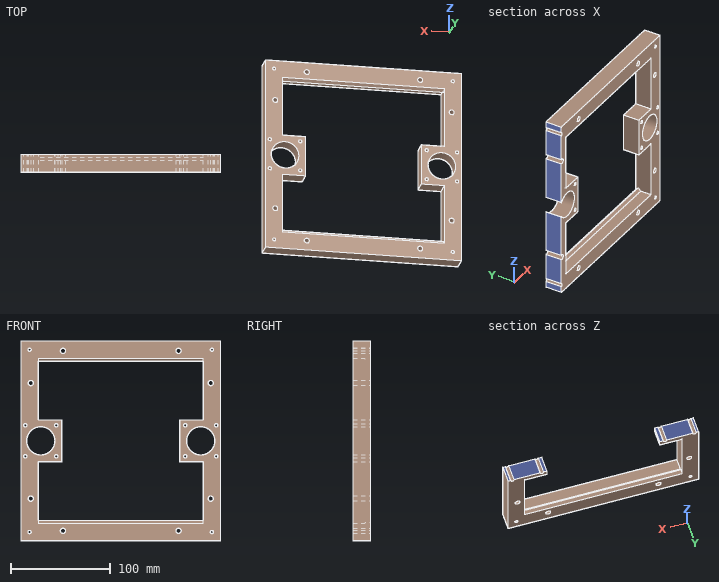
import cadquery as cq

frame_side = 200.0
frame_depth = 18.0
opening_side = 165.0

mount_side = 42.0
mount_offset = 80.0
mount_bore_diameter = 28.0
mount_screw_spacing = 31.0
mount_screw_diameter = 3.2

corner_hole_offset = 91.2
corner_hole_diameter = 3.0
bar_hole_offset = 90.0
bar_hole_spacing = 115.5
bar_hole_diameter = 5.0

ridge_height = 3.0
ridge_width = 2 * ridge_height


def extrude_back(sketch):
    """Extrude a sketch on the front face through the full depth, toward +Y."""
    return sketch.extrude(-frame_depth)


def front_plane(x=0):
    """Workplane on the front face, with its origin moved sideways by x."""
    return cq.Workplane("XZ", origin=(x, 0, 0))


def make_frame():
    outer = extrude_back(front_plane().rect(frame_side, frame_side))
    opening = extrude_back(front_plane().rect(opening_side, opening_side))
    return outer.cut(opening)


def make_ridge(side):
    """Ridge on the top (side = 1) or bottom (side = -1) bar."""
    base_z = side * opening_side / 2
    peak_z = base_z - side * ridge_height
    profile = cq.Workplane("YZ").polyline([
        (frame_depth - ridge_width, base_z),
        (frame_depth - ridge_width / 2, peak_z),
        (frame_depth, base_z),
    ]).close()
    return profile.extrude(opening_side / 2, both=True)


def make_mount(side):
    """Solid mount block reaching inward from the right (side = 1) or left (side = -1) outer side."""
    inner_x = mount_offset - mount_side / 2
    width = frame_side / 2 - inner_x
    return extrude_back(front_plane(side * (inner_x + width / 2)).rect(width, mount_side))


def make_mount_holes(side):
    plane = front_plane(side * mount_offset)
    bore = extrude_back(plane.circle(mount_bore_diameter / 2))
    screw_points = plane.rect(mount_screw_spacing, mount_screw_spacing, forConstruction=True).vertices()
    return bore.union(extrude_back(screw_points.circle(mount_screw_diameter / 2)))


def make_corner_holes():
    pattern = front_plane().rect(2 * corner_hole_offset, 2 * corner_hole_offset, forConstruction=True)
    return extrude_back(pattern.vertices().circle(corner_hole_diameter / 2))


def make_bar_holes(width, height):
    """Four holes at the corners of a width x height rectangle."""
    pattern = front_plane().rect(width, height, forConstruction=True)
    return extrude_back(pattern.vertices().circle(bar_hole_diameter / 2))


result = make_frame()
for side in (-1, 1):
    result = result.union(make_ridge(side)).union(make_mount(side))
for side in (-1, 1):
    result = result.cut(make_mount_holes(side))
result = result.cut(make_corner_holes())
result = result.cut(make_bar_holes(bar_hole_spacing, 2 * bar_hole_offset))
result = result.cut(make_bar_holes(2 * bar_hole_offset, bar_hole_spacing))